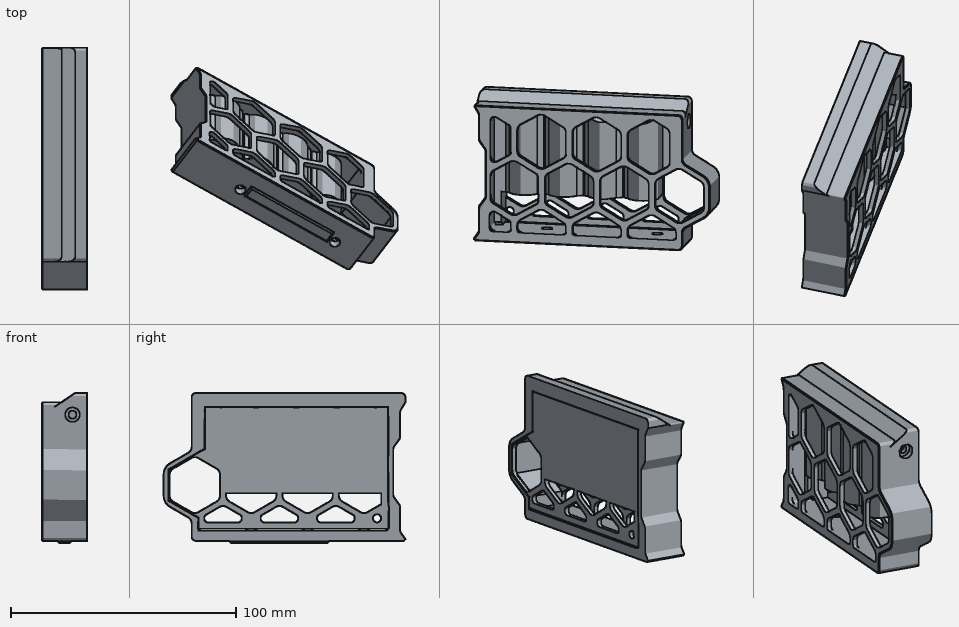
import cadquery as cq
import math


margin = 0.1

depth = 20.0
overall_length = 107.5
length = 95.0
low_top = 61.7
high_top = 65.8
slope_foot_x = 8.7
slope_head_x = 14.7
top_slope = (high_top - low_top) / (slope_head_x - slope_foot_x)
wall = 2.0
edge_chamfer = 0.4
corner_radius = 2.0
lip_radius = 0.5

shank_y = 92.7
recess_y = 89.7
top_flare_z = (57.7, low_top)
bottom_flare_z = (0.9, 4.1)
recess_floor_z = (19.9, 41.5)
recess_mouth_z = (15.7, 45.7)
flare_radius = 3.0
recess_radius = 2.0

cell_flats = 22.3
cell_gap = 2.8
cell_pitch = cell_flats + cell_gap
row_pitch = cell_pitch * math.sqrt(3) / 2
cell_radius = 3.0
partial_cell_radius = 2.0
cells_per_row = 4
middle_row_z = 24.8
upper_row_z = middle_row_z + row_pitch
lower_row_z = middle_row_z - row_pitch

bulge_flats = cell_flats + 2 * cell_gap
first_cell_y = bulge_flats / 2 - (overall_length - length)
bulge_radius = 6.0
bulge_root_radius = 3.0

floor_z = 4.6
ceiling_z = 59.6
cavity_y_max = 87.4
cavity_y_min = 2.9
upper_cavity_y_min = 5.8
lower_step = 0.3
lower_step_z = (14.7, 20.5)
cavity_radius = 2.0
cell_corner_radius = 1.5

end_hole_x = 13.5
end_hole_z = 56.1
end_hole_diameter = 3.5
end_bore_diameter = 6.5
end_bore_depth = 3.0

rail_x = 10.0
rail_y = 38.9
rail_width = 5.9
rail_length = 44.1
rail_height = 1.0
rail_chamfer = 0.8
floor_hole_x = 11.3
floor_hole_diameter = 4.6

side_clearance = 0.2
bottom_clearance = 0.8
plate_x = depth - wall
block_x = 8.0
block_bottom_z = 21.2
foot_width = 3.0
foot_cove_radius = 2.6
column_count = 4
column_pitch = 18.0
first_column_y = 73.7
column_radius = 7.2
column_axis_x = 9.9
front_fillet = 2.0
rear_fillet = 3.0
column_top_z = 56.1
plate_slot_half_width = 8.3
plate_slot_bottom_z = 8.3
plate_slot_radius = 1.6
screw_hole_diameter = 3.5
screw_hole_y = 82.3
screw_hole_z = 10.1


def box(x_range, y_range, z_range):
    """Axis-aligned box given by its limits."""
    size = [high - low for low, high in (x_range, y_range, z_range)]
    return cq.Workplane("XY").box(*size, centered=False).translate((x_range[0], y_range[0], z_range[0]))


def hexagon(flats, y, z, x_start, x_end):
    """Hexagonal prism along X with two flats facing +Y and -Y."""
    corner_distance = flats / math.sqrt(3)
    angles = [math.radians(30 + 60 * i) for i in range(6)]
    points = [(y + corner_distance * math.cos(a), z + corner_distance * math.sin(a)) for a in angles]
    return cq.Workplane("YZ").polyline(points).close().extrude(x_end - x_start).translate((x_start, 0, 0))


def rounded(prism, radius):
    """Fillet all the X edges of a prism."""
    return prism.edges("|X").fillet(radius)


def rounded_within(prism, y_range, z_range, radius):
    """Fillet the X edges of a prism that lie inside a window in Y and Z, widened a little."""
    low_corner = (-margin, y_range[0] - margin, z_range[0] - margin)
    high_corner = (depth + margin, y_range[1] + margin, z_range[1] + margin)
    return prism.edges("|X").edges(cq.selectors.BoxSelector(low_corner, high_corner)).fillet(radius)


def row_centres(z, shift):
    return [(first_cell_y + cell_pitch * (i + shift), z) for i in range(cells_per_row)]


def end_outline(top_z):
    """Side outline, from the -Y bottom corner up, over the top and down the +Y end."""
    square_corner = [(length, top_z)] if top_z > top_flare_z[1] else []
    return [
        (0, 0),
        (0, top_z),
        *square_corner,
        (length, top_flare_z[1]),
        (shank_y, top_flare_z[0]),
        (shank_y, recess_mouth_z[1]),
        (recess_y, recess_floor_z[1]),
        (recess_y, recess_floor_z[0]),
        (shank_y, recess_mouth_z[0]),
        (shank_y, bottom_flare_z[1]),
        (length, bottom_flare_z[0]),
        (length - bottom_flare_z[0], 0),
    ]


def outline_body(top_z):
    """Full-depth prism of the side outline with its corners rounded, except the top +Y one."""
    body = cq.Workplane("YZ").polyline(end_outline(top_z)).close().extrude(depth)
    body = rounded_within(body, (0, 0), (0, top_z), corner_radius)
    for flare_z in (bottom_flare_z[1], top_flare_z[0]):
        body = rounded_within(body, (shank_y, shank_y), (flare_z, flare_z), flare_radius)
    return rounded_within(body, (recess_y, shank_y), recess_mouth_z, recess_radius)


def low_body():
    """Outline up to the low top, with the bulge, chamfered around the -X face."""
    bulge = hexagon(bulge_flats, first_cell_y, middle_row_z, 0, depth)
    outer_y = first_cell_y - bulge_flats / 2
    bulge = rounded_within(bulge, (outer_y, outer_y), (0, high_top), bulge_radius)
    body = outline_body(low_top).union(bulge)
    root_z_range = (corner_radius + 1.1, low_top - corner_radius - 1.1)
    body = rounded_within(body, (0, 0), root_z_range, bulge_root_radius)
    body = rounded_within(body, (length, length), (low_top, low_top), lip_radius)
    return body.faces("<X").chamfer(edge_chamfer)


def ridge():
    """The high strip along +X with its sloping front."""
    start_x = slope_foot_x / 2
    start_z = low_top - top_slope * (slope_foot_x - start_x)
    profile = [(start_x, 0), (start_x, start_z), (slope_head_x, high_top), (depth, high_top), (depth, 0)]
    prism = cq.Workplane("XZ").polyline(profile).close().extrude(-length)
    tall = outline_body(high_top)
    tall = rounded_within(tall, (length, length), (high_top, high_top), corner_radius)
    return tall.intersect(prism)


def cavity_outline():
    """Side outline of the cavity, from the -Y floor corner through the bulge and over to the +Y wall."""
    half_flats = bulge_flats / 2 - wall
    slope = math.tan(math.radians(30))
    corner_distance = 2 * half_flats * slope
    lower_root_z = middle_row_z - corner_distance - slope * (cavity_y_min - first_cell_y)
    upper_root_z = middle_row_z + corner_distance + slope * (upper_cavity_y_min - first_cell_y)
    return [
        (cavity_y_min, floor_z),
        (cavity_y_min, lower_root_z),
        (first_cell_y - half_flats, middle_row_z - corner_distance / 2),
        (first_cell_y - half_flats, middle_row_z + corner_distance / 2),
        (upper_cavity_y_min, upper_root_z),
        (upper_cavity_y_min, ceiling_z),
        (cavity_y_max, ceiling_z),
        (cavity_y_max, lower_step_z[1]),
        (cavity_y_max + lower_step, lower_step_z[0]),
        (cavity_y_max + lower_step, floor_z),
    ]


def cavity_shape():
    """Prism that fills the cavity from the -X wall to the open back."""
    outline = cq.Workplane("YZ").polyline(cavity_outline()).close()
    shape = outline.extrude(depth - wall).translate((wall, 0, 0))
    return rounded_within(shape, (cavity_y_max, length), (floor_z, floor_z), cavity_radius)


def back_plate():
    """Plate that closes the back of the cavity with a small gap, wider along the floor."""
    outline = cq.Workplane("YZ").polyline(cavity_outline()).close().offset2D(-side_clearance, "intersection")
    plate = outline.extrude(depth - plate_x).translate((plate_x, 0, 0))
    return plate.cut(box((plate_x, depth), (0, length), (0, floor_z + bottom_clearance)))


def honeycomb():
    """Cell openings in the -X wall, trimmed at the cavity walls."""
    x_range = (0, wall)
    lower_y_max = cavity_y_max + lower_step
    rows = [
        (row_centres(middle_row_z, 0), box(x_range, (-length, cavity_y_max), (0, high_top))),
        (row_centres(upper_row_z, 0.5), box(x_range, (upper_cavity_y_min, cavity_y_max), (0, high_top))),
        (row_centres(lower_row_z, 0.5), box(x_range, (cavity_y_min, lower_y_max), (floor_z, high_top))),
    ]
    cells = []
    for centres, window in rows:
        for y, z in centres:
            cell = hexagon(cell_flats, y, z, *x_range).intersect(window)
            is_partial = y > cavity_y_max
            main_radius = partial_cell_radius if is_partial else cell_radius
            cell = rounded_within(cell, (-length, length), (floor_z + 1.1, high_top), main_radius)
            if z < floor_z:
                cell = rounded_within(cell, (0, length), (floor_z, floor_z), cell_corner_radius)
            cells.append(cell)
    return cells


def rail():
    blank = box(
        (rail_x - rail_width / 2, rail_x + rail_width / 2),
        (rail_y - rail_length / 2, rail_y + rail_length / 2),
        (-rail_height, 0),
    )
    return blank.faces("<Z").chamfer(rail_chamfer)


def make_housing():
    body = low_body().union(ridge()).cut(cavity_shape())
    for cell in honeycomb():
        body = body.cut(cell)
    end_face = cq.Workplane("XZ").center(end_hole_x, end_hole_z)
    body = body.cut(end_face.circle(end_hole_diameter / 2).extrude(-upper_cavity_y_min))
    body = body.cut(end_face.circle(end_bore_diameter / 2).extrude(-end_bore_depth))
    hole_places = [(floor_hole_x, rail_y - cell_pitch), (floor_hole_x, rail_y + cell_pitch)]
    holes = cq.Workplane("XY").pushPoints(hole_places).circle(floor_hole_diameter / 2).extrude(floor_z)
    return body.cut(holes).union(rail())


def fillet_offsets(radius):
    """Where a fillet between column and block face touches: (dx, dy) on the column, dy on the face."""
    reach = column_radius + radius
    cosine = (column_axis_x - block_x + radius) / reach
    sine = math.sqrt(1 - cosine**2)
    return column_radius * cosine, column_radius * sine, reach * sine


def block_with_columns():
    """Block behind the columns; every column but the last flows into the block on both sides."""
    y_max = cavity_y_max - side_clearance
    axis_depth = column_axis_x - block_x
    end_y = first_column_y - (column_count - 1) * column_pitch - math.sqrt(column_radius**2 - axis_depth**2)
    top_z = ceiling_z - side_clearance
    front_dx, front_dy, front_foot = fillet_offsets(front_fillet)
    rear_dx, rear_dy, rear_foot = fillet_offsets(rear_fillet)
    outline = cq.Workplane("XY").moveTo(plate_x, y_max).lineTo(block_x, y_max)
    for i in range(column_count):
        y = first_column_y - i * column_pitch
        outline = outline.lineTo(block_x, y + front_foot)
        outline = outline.radiusArc((column_axis_x - front_dx, y + front_dy), -front_fillet)
        tip = (column_axis_x - column_radius, y)
        if i < column_count - 1:
            outline = outline.threePointArc(tip, (column_axis_x - rear_dx, y - rear_dy))
            outline = outline.radiusArc((block_x, y - rear_foot), -rear_fillet)
        else:
            outline = outline.threePointArc(tip, (block_x, end_y))
    block = outline.lineTo(plate_x, end_y).close().extrude(top_z - block_bottom_z)
    block = block.translate((0, 0, block_bottom_z))

    tip_x = column_axis_x - column_radius
    slope_end_x = tip_x + (top_z - column_top_z) / top_slope
    wedge = [(tip_x, column_top_z), (slope_end_x, top_z), (tip_x, top_z)]
    return block.cut(cq.Workplane("XZ").polyline(wedge).close().extrude(-length))


def foot():
    """Leg at the +Y end of the block, with a cove along its lower front edge."""
    y_max = cavity_y_max - side_clearance
    bottom_z = floor_z + bottom_clearance
    leg = box((block_x, plate_x), (y_max - foot_width, y_max), (bottom_z, block_bottom_z))
    cove = cq.Workplane("XZ").center(block_x, floor_z).circle(foot_cove_radius).extrude(-length)
    return leg.cut(cove)


def plate_openings():
    """Middle row cells below the block, the whole bulge cell, and lower row cells cut to triangles."""
    x_range = (plate_x, depth)
    foot_y_min = cavity_y_max - side_clearance - foot_width
    below_block = box(x_range, (0, foot_y_min), (0, block_bottom_z))
    middle_places = row_centres(middle_row_z, 0)
    middle_cells = [rounded(hexagon(cell_flats, y, z, *x_range), cell_radius) for y, z in middle_places]
    openings = middle_cells[:1] + [cell.intersect(below_block) for cell in middle_cells[1:]]
    for y, z in row_centres(lower_row_z, 0.5)[:-1]:
        y_range = (y - plate_slot_half_width, y + plate_slot_half_width)
        window = box(x_range, y_range, (plate_slot_bottom_z, middle_row_z))
        openings.append(rounded(hexagon(cell_flats, y, z, *x_range).intersect(window), plate_slot_radius))
    return openings


def make_holder():
    body = back_plate().union(block_with_columns()).union(foot())
    body = body.intersect(cavity_shape())
    for opening in plate_openings():
        body = body.cut(opening)
    screw_axis = cq.Workplane("YZ").center(screw_hole_y, screw_hole_z)
    return body.cut(screw_axis.circle(screw_hole_diameter / 2).extrude(depth))


housing = make_housing()
holder = make_holder()
result = cq.Compound.makeCompound([housing.val(), holder.val()])